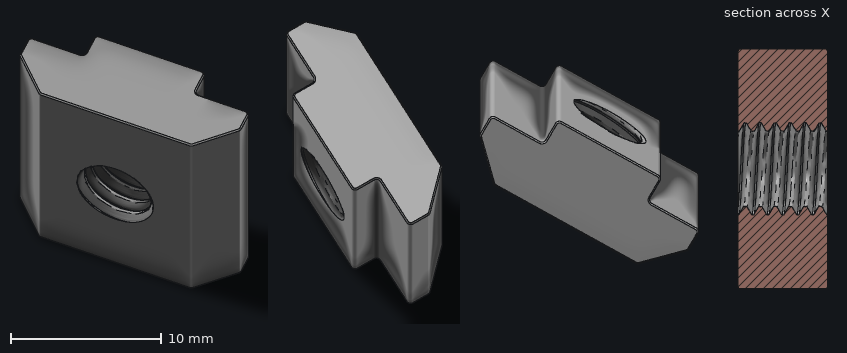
import cadquery as cq
import math

width = 16.0
depth = 6.0
length = 16.0
tongue_width = 8.0
tongue_height = 1.9
bevel = 2.5
corner_radius = 0.3
end_chamfer = 0.1

minor_diameter = 5.04
major_diameter = 6.15
pitch = 1.0
flank_half_angle = 30.0
root_flat = pitch / 8
flank_points = 12

front_y = -depth / 2
back_y = depth / 2
shoulder_y = back_y - tongue_height


def make_body():
    """T-shaped prism with two front bevels, rounded long edges and chamfered ends."""
    half_width = width / 2
    half_tongue = tongue_width / 2
    half_front = half_width - bevel
    right_side = [
        (half_front, front_y),
        (half_width, front_y + bevel),
        (half_width, shoulder_y),
        (half_tongue, shoulder_y),
        (half_tongue, back_y),
    ]
    left_side = [(-x, y) for x, y in reversed(right_side)]
    prism = (
        cq.Workplane("XY")
        .polyline(right_side + left_side)
        .close()
        .extrude(length / 2, both=True)
    )
    rounded = prism.edges("|Z").fillet(corner_radius)
    return rounded.faces("|Z").edges().chamfer(end_chamfer)


def point_at(radius, angle):
    """Point in the thread's cross-section; angle is in radians from the middle of the root."""
    return (radius * math.cos(angle), radius * math.sin(angle))


def make_threaded_core():
    """Threaded rod that fills the hole, its root lowest (-Z) at the front face.

    Cut square to its axis, a thread has the same outline everywhere, only turned. The outline
    is a root arc and a land arc joined by two spiral flanks, and is twisted along the axis.
    """
    minor_radius = minor_diameter / 2
    major_radius = major_diameter / 2
    flank_run = (major_radius - minor_radius) * math.tan(math.radians(flank_half_angle))
    turn_per_length = 2 * math.pi / pitch
    root_end = turn_per_length * root_flat / 2
    land_start = root_end + turn_per_length * flank_run

    def rising_flank(t):
        """Flank from the land to the root, as t goes from 0 to 1."""
        radius = minor_radius + t * (major_radius - minor_radius)
        return point_at(radius, -land_start + t * (land_start - root_end))

    def falling_flank(t):
        """Mirrored flank, from the root back to the land."""
        x, y = rising_flank(1 - t)
        return (x, -y)

    outline = (
        cq.Workplane(cq.Plane(origin=(0, front_y, 0), xDir=(0, 0, -1), normal=(0, 1, 0)))
        .moveTo(*point_at(major_radius, -root_end))
        .threePointArc(point_at(major_radius, 0), point_at(major_radius, root_end))
        .parametricCurve(falling_flank, N=flank_points, makeWire=False)
        .moveTo(*point_at(minor_radius, land_start))
        .threePointArc(point_at(minor_radius, math.pi), point_at(minor_radius, -land_start))
        .parametricCurve(rising_flank, N=flank_points, makeWire=False)
        .wire()
    )
    return outline.twistExtrude(depth, math.degrees(turn_per_length * depth))


result = make_body().cut(make_threaded_core())